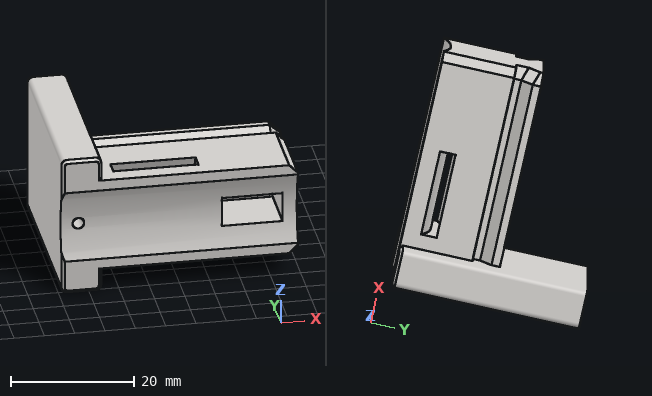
import cadquery as cq
import math

PLATE_LENGTH = 6.6
PLATE_DEPTH = 31.2
PLATE_HEIGHT = 24.0
PLATE_EDGE_RADIUS = 1.0
PLATE_FRONT_CHAMFER = 0.5

OVERALL_LENGTH = 39.0
ARM_START_X = PLATE_LENGTH / 2
ARM_DEPTH = 16.6
ARM_HEIGHT = 16.0
ARM_END_CHAMFER = 1.5

GROOVE_START_Y = 12.05
GROOVE_FLOOR_WIDTH = 1.25
GROOVE_DEPTH = 1.9
FLANK_ANGLE = 45.0
GROOVE_LEAD_IN = 1.95
RAIL_DROP = 0.1

SADDLE_RADIUS = 17.0
SADDLE_WIDTH = 12.4
SLOT_INNER_RADIUS = 20.4
SLOT_OUTER_RADIUS = 22.8
SLOT_START_X = 9.05
SLOT_END_X = 23.05

POCKET_START_X = 26.6
POCKET_LENGTH = 10.0
POCKET_HEIGHT = 5.05
POCKET_BOTTOM_Y = 10.0

PIN_HOLE_DIAMETER = 1.9
PIN_HOLE_X = 2.95

ARM_TOP = ARM_HEIGHT / 2
SADDLE_AXIS_Y = -math.sqrt(SADDLE_RADIUS**2 - (SADDLE_WIDTH / 2)**2)


def block(x_start, x_end, y_start, y_end, height):
    """Box centred on Z = 0 between the given X and Y limits."""
    box = cq.Workplane("XY").box(x_end - x_start, y_end - y_start, height, centered=(False, False, True))
    return box.translate((x_start, y_start, 0))


def saddle_cylinder(radius, x_start, x_end):
    """Cylinder along X about the saddle axis."""
    section = cq.Workplane("YZ", origin=(x_start, SADDLE_AXIS_Y, 0)).circle(radius)
    return section.extrude(x_end - x_start)


def make_plate():
    plate = block(0, PLATE_LENGTH, 0, PLATE_DEPTH, PLATE_HEIGHT)
    plate = plate.edges("|Y").fillet(PLATE_EDGE_RADIUS)
    return plate.faces("<Y").chamfer(PLATE_FRONT_CHAMFER)


def make_arm():
    arm = block(ARM_START_X, OVERALL_LENGTH, 0, ARM_DEPTH, ARM_HEIGHT)
    return arm.faces(">X").edges("|Y").chamfer(ARM_END_CHAMFER)


def groove_section(x, widening):
    """Groove outline at X, with its floor, flank and crest moved into the arm by the widening."""
    crest_z = ARM_TOP - RAIL_DROP - widening
    floor_z = crest_z - GROOVE_DEPTH
    flank_start_y = GROOVE_START_Y + GROOVE_FLOOR_WIDTH + widening * math.tan(math.radians(FLANK_ANGLE / 2))
    flank_end_y = flank_start_y + GROOVE_DEPTH / math.tan(math.radians(FLANK_ANGLE))
    above_arm_z = ARM_TOP + GROOVE_DEPTH
    outline = [
        (GROOVE_START_Y, above_arm_z),
        (GROOVE_START_Y, floor_z),
        (flank_start_y, floor_z),
        (flank_end_y, crest_z),
        (ARM_DEPTH, crest_z),
        (ARM_DEPTH, above_arm_z),
    ]
    points = [cq.Vector(x, y, z) for y, z in outline]
    return cq.Wire.makePolygon(points, close=True)


def make_groove():
    """Top groove with a flared lead-in at the arm's free end."""
    lead_in_x = OVERALL_LENGTH - GROOVE_LEAD_IN
    start = groove_section(PLATE_LENGTH, 0)
    lead_in_start = groove_section(lead_in_x, 0)
    lead_in_end = groove_section(OVERALL_LENGTH, GROOVE_LEAD_IN)
    straight = cq.Solid.makeLoft([start, lead_in_start], True)
    lead_in = cq.Solid.makeLoft([lead_in_start, lead_in_end], True)
    return cq.Workplane(obj=straight).union(cq.Workplane(obj=lead_in))


def make_tie_slot():
    outer = saddle_cylinder(SLOT_OUTER_RADIUS, SLOT_START_X, SLOT_END_X)
    inner = saddle_cylinder(SLOT_INNER_RADIUS, SLOT_START_X, SLOT_END_X)
    return outer.cut(inner)


def make_pocket():
    return block(POCKET_START_X, POCKET_START_X + POCKET_LENGTH, 0, POCKET_BOTTOM_Y, POCKET_HEIGHT)


def make_pin_hole():
    section = cq.Workplane("XZ", origin=(PIN_HOLE_X, 0, 0)).circle(PIN_HOLE_DIAMETER / 2)
    return section.extrude(-PLATE_DEPTH)


top_groove = make_groove()
bottom_groove = top_groove.mirror("XY")

arm = make_arm().cut(top_groove).cut(bottom_groove)
result = make_plate().union(arm)
result = result.cut(saddle_cylinder(SADDLE_RADIUS, 0, OVERALL_LENGTH))
result = result.cut(make_tie_slot()).cut(make_pocket()).cut(make_pin_hole())